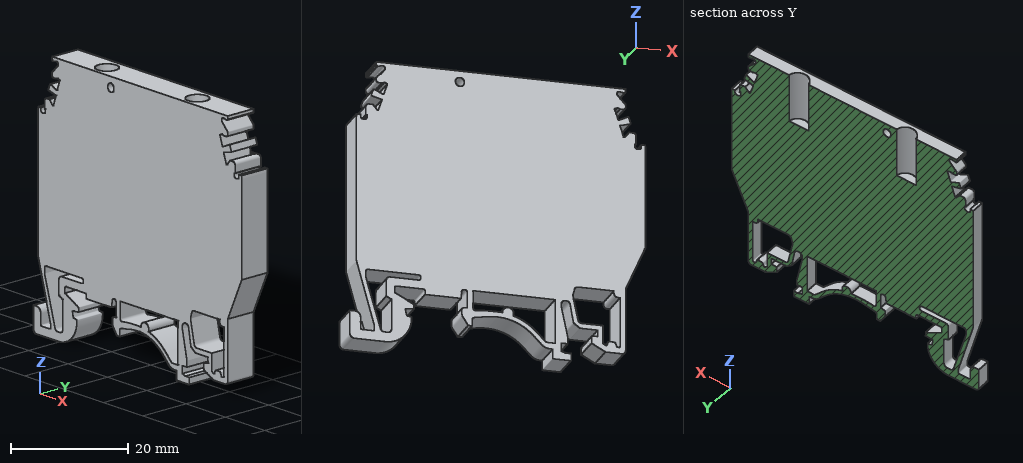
import cadquery as cq
import math


length = 53.0
thickness = 6.0
height = 50.85

body_left = 1.15
body_right = length
body_middle = (body_left + body_right) / 2

top_inset = 3.55
top_left = body_left + top_inset

tip_round = 0.15
edge_round = 0.25
corner_round = 0.4
slit_round = 0.45
bend_round = 0.7

neck = 6.3
shoulder_top = 43.0
shoulder_radius = 0.55
shoulder_wall = 2.85
side_lip_top = 40.95
side_lip_taper_height = 0.6
lip_taper = 0.05
groove_left = 1.9
groove_right = 3.1
groove_floor = 40.1
groove_radius = 0.5
web_thickness = 0.2
root_high = (6.75, 47.0)
root_low = (5.1, 42.05)
upper_web_top = (5.7, 47.05)
upper_web_bottom = (6.45, 46.2)
lower_web_corner = (5.4, shoulder_top)

foot_top = 5.05
foot_floor = 1.75
heel_right = 11.1
heel_radius = 4.65
foot_corner = 0.8
spring_start = 14.2
spring_foot_radius = 1.6
spring_lean = 0.28
spring_foot_x = 4.4
spring_foot_z = spring_start - (spring_foot_x - body_left) / spring_lean
spring_at_foot_top = body_left + (spring_start - foot_top) * spring_lean
pocket_left = 1.9
pocket_lead_in = 1.05
pocket_back_wall = 1.0
window_left = 2.85
spring_inner_bend = 11.4
spring_inner_foot = 5.65
window_right = 12.7
window_top = 12.8
window_slit = 0.95
inner_post_upper = 6.5
inner_post_lower = 7.45

belly = 9.4
belly_left = 13.45
belly_right = 19.95
clear_top = 11.0
arm_left = 21.05
arm_right = 22.1
strap_under = 6.75
strap_thickness = 0.95
strap_top = strap_under + strap_thickness
strap_slope = math.radians(45)
strap_bend = 30.2
strap_radius = 9.0
strap_root_radius = 10.6
strap_root_top_radius = 15.9
strap_end_radius = 2.1
strap_end_under = 1.95
strap_end_top = 3.1
post_foot_left = 36.35
post_left = 36.8
post_right = 37.9
post_barb = 39.05
post_barb_under = 3.25
post_bottom = 0.2
toe_right = 39.7
toe_top = 1.55
bump_radius = 1.0
bump_x = 28.35

hook_bottom = 2.5
hook_right = 49.45
hook_wall = 1.0
hook_inner_right = hook_right - hook_wall
hook_shelf_under = 6.3
hook_shelf_top = hook_shelf_under + strap_thickness
hook_nose = 43.3
hook_stem_left = 44.4
hook_stem_right = hook_stem_left + strap_thickness
hook_window_top = 13.8
hook_groove_floor = 3.6
hook_window_left = 39.95
hook_step_left = 47.35
hook_step_under = 12.65
hook_rib_left = 46.3
hook_rib_right = 47.55
hook_rib_flare = 0.3
hook_rib_top = 4.45
hook_side_top = 14.35
side_bevel_start = 22.25

latch_tip = 11.5
latch_under = 6.5
latch_tip_height = 0.85
latch_neck = 8.05
latch_ceiling = 10.35
stop_lug_left = 20.1
stop_lug_right = 21.95
stop_lug_bottom = 4.6

pin_hole_diameter = 1.6
pin_hole_x = 19.7
pin_hole_z = 48.8
screw_hole_diameter = 4.2
screw_hole_spacing = 23.0
screw_hole_y = 2.85
screw_hole_depth = 10.6


def rounded_outline(corners):
    """Closed XZ outline through (x, z) or (x, z, radius) corners, rounded by the given radii."""
    touching = 5.3e-07
    count = len(corners)
    stretches = []
    for i in range(count):
        x, z = corners[i][:2]
        radius = corners[i][2] if len(corners[i]) == 3 else 0
        if radius == 0:
            stretches.append([(x, z)])
            continue
        before = corners[i - 1]
        after = corners[(i + 1) % count]
        to_before = cq.Vector(before[0] - x, before[1] - z).normalized()
        to_after = cq.Vector(after[0] - x, after[1] - z).normalized()
        half_angle = to_before.getAngle(to_after) / 2
        tangent = radius / math.tan(half_angle)
        to_middle = radius / math.sin(half_angle) - radius
        corner = cq.Vector(x, z)
        arc = [
            corner + to_before * tangent,
            corner + (to_before + to_after).normalized() * to_middle,
            corner + to_after * tangent,
        ]
        stretches.append([(p.x, p.y) for p in arc])

    pen = stretches[0][-1]
    sketch = cq.Workplane("XZ").moveTo(*pen)
    for stretch in stretches[1:] + stretches[:1]:
        if math.dist(pen, stretch[0]) > touching:
            sketch = sketch.lineTo(*stretch[0])
        if len(stretch) == 3:
            sketch = sketch.threePointArc(stretch[1], stretch[2])
        pen = stretch[-1]
    return sketch.wire()


def prism(corners, depth=thickness):
    """Solid with the given outline, from the front face back to the given depth."""
    return rounded_outline(corners).extrude(-depth)


def mirrored(corners):
    """The same corners on the other side of the body, in reverse order."""
    return [(2 * body_middle - c[0],) + tuple(c[1:]) for c in reversed(corners)]


tooth_shoulder = [
    (top_left + lip_taper, height),
    (top_left, 50.25),
    (4.95, 50.05),
    (neck, 50.3, corner_round),
    (neck, 49.6, edge_round),
    (top_left, 47.95, edge_round),
    (top_left, 47.05, corner_round),
    upper_web_top,
    upper_web_bottom,
    (6.05, 45.0, tip_round),
    (4.25, 45.85, tip_round),
    (3.75, 44.55, tip_round),
    (5.8, 44.05),
    lower_web_corner,
    (shoulder_wall, shoulder_top, shoulder_radius),
    (shoulder_wall, side_lip_top),
    (groove_right, side_lip_top),
    (groove_right, groove_floor, groove_radius),
    (groove_left, groove_floor, groove_radius),
    (groove_left, side_lip_top),
    (body_left + lip_taper, side_lip_top),
    (body_left, side_lip_top - side_lip_taper_height),
]

snap_foot = [
    (body_left, spring_start),
    (spring_at_foot_top, foot_top),
    (0, foot_top),
    (0, 0, foot_corner),
    (heel_right, 0, heel_radius),
    (heel_right, foot_top, tip_round),
    (10.2, 5.2, tip_round),
    (9.9, 6.35, tip_round),
    (latch_tip, latch_under),
    (latch_tip, latch_under + latch_tip_height, tip_round),
    (latch_neck, 9.1),
    (latch_neck, latch_ceiling, edge_round),
    (belly_left, latch_ceiling, edge_round),
    (belly_left, belly),
]

rail_bridge = [
    (belly_right, belly),
    (stop_lug_left, clear_top, corner_round),
    (arm_left, clear_top, corner_round),
    (arm_left, 7.85),
    (stop_lug_left, 7.65, tip_round),
    (stop_lug_left, 6.25, foot_corner),
    (21.2, stop_lug_bottom),
    (stop_lug_right, stop_lug_bottom),
    (stop_lug_right, 6.1, corner_round),
    (25.45, strap_under, strap_root_radius),
    (strap_bend, strap_under, strap_radius),
    (strap_bend + strap_under - strap_end_under, strap_end_under, strap_end_radius),
    (post_foot_left, strap_end_under),
    (post_foot_left, post_bottom, tip_round),
    (toe_right, post_bottom, tip_round),
    (toe_right, toe_top),
    (38.7, toe_top),
    (post_right, 1.8),
    (post_right, post_barb_under),
    (post_barb, post_barb_under),
    (post_barb, 4.4),
    (post_right, 9.85),
]

rail_hook = [
    (post_right, clear_top, bend_round),
    (39.4, clear_top, bend_round),
    (40.05, 7.15, corner_round),
    (41.25, hook_shelf_under, edge_round),
    (hook_stem_left, hook_shelf_under),
    (hook_stem_left, 5.2),
    (hook_nose, 5.05),
    (hook_nose, 3.8),
    (45.8, hook_bottom),
    (hook_right, hook_bottom, bend_round),
    (hook_right, hook_side_top),
    (body_right, side_bevel_start),
]

outline = tooth_shoulder + snap_foot + rail_bridge + rail_hook + mirrored(tooth_shoulder)
block = prism(outline)

spring_window = [
    (window_left, window_top, corner_round),
    (window_right, window_top, slit_round),
    (window_right, window_top - window_slit, slit_round),
    (inner_post_upper, window_top - window_slit, bend_round),
    (inner_post_upper, 8.3),
    (inner_post_lower, 7.85),
    (inner_post_lower, foot_floor, bend_round),
    (spring_inner_foot, foot_floor, bend_round),
    (window_left, spring_inner_bend),
]
strap_top_bend = strap_bend + strap_thickness * math.tan(strap_slope / 2)
bridge_window = [
    (arm_right, clear_top),
    (post_left, clear_top),
    (post_left, strap_end_top),
    (strap_top_bend + strap_top - strap_end_top, strap_end_top, corner_round),
    (strap_top_bend, strap_top, strap_radius + strap_thickness),
    (24.4, strap_top, strap_root_top_radius),
    (arm_right, 7.4, corner_round),
]
hook_window = [
    (hook_window_left, 12.2, edge_round),
    (hook_window_left + 0.4, hook_window_top, bend_round),
    (hook_step_left, hook_window_top),
    (hook_step_left, hook_step_under, bend_round),
    (hook_inner_right, hook_step_under),
    (hook_inner_right, hook_groove_floor, edge_round),
    (hook_rib_right + hook_rib_flare, hook_groove_floor, tip_round),
    (hook_rib_right, hook_rib_top, edge_round),
    (hook_rib_left, hook_rib_top, edge_round),
    (hook_rib_left - hook_rib_flare, hook_groove_floor, tip_round),
    (hook_stem_right, hook_groove_floor + 0.4, tip_round),
    (hook_stem_right, hook_shelf_top),
    (41.0, hook_shelf_top, bend_round),
]
for window in (spring_window, bridge_window, hook_window):
    block = block.cut(prism(window))

bump = cq.Workplane("XZ").center(bump_x, strap_top).circle(bump_radius).extrude(-thickness)
block = block.union(bump)

foot_pocket = [
    (pocket_left - pocket_lead_in, foot_top),
    (pocket_left, foot_top, pocket_lead_in),
    (pocket_left, foot_floor, edge_round),
    (spring_foot_x, foot_floor, edge_round),
    (spring_foot_x, spring_foot_z, spring_foot_radius),
    (spring_at_foot_top, foot_top),
]
block = block.cut(prism(foot_pocket, thickness - pocket_back_wall))

upper_slot_end = [upper_web_top, (6.2, 47.2), root_high, upper_web_bottom]
lower_slot_end = [(4.15, shoulder_top), (4.95, root_low[1]), root_low, lower_web_corner]
for slot_end in (upper_slot_end, lower_slot_end):
    for corners in (slot_end, mirrored(slot_end)):
        block = block.cut(prism(corners, thickness - web_thickness))

pin_hole = (
    cq.Workplane("XZ").center(pin_hole_x, pin_hole_z).circle(pin_hole_diameter / 2).extrude(-thickness)
)
block = block.cut(pin_hole)
for side in (-1, 1):
    screw_hole = (
        cq.Workplane("XY", origin=(body_middle + side * screw_hole_spacing / 2, screw_hole_y, height))
        .circle(screw_hole_diameter / 2)
        .extrude(-screw_hole_depth)
    )
    block = block.cut(screw_hole)

result = block